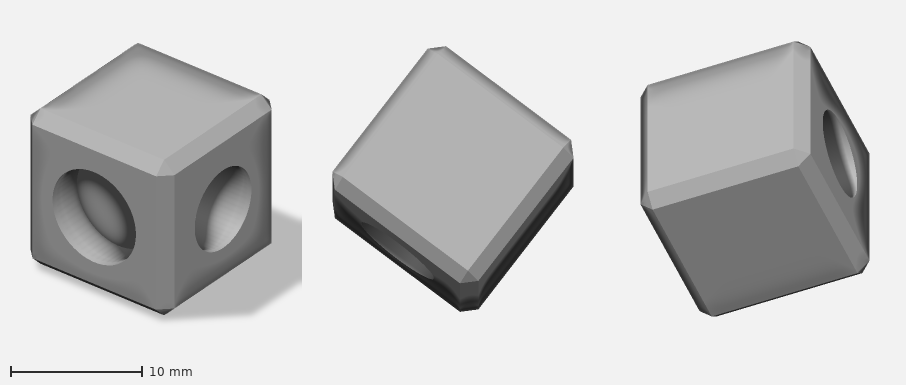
import cadquery as cq

cube_side = 14.0
edge_chamfer = 1.0
through_hole_diameter = 7.0
pocket_diameter = 8.1
pocket_depth = 3.0

half_side = cube_side / 2


def chamfered_cube():
    """Cube centred on the origin with every edge chamfered."""
    return cq.Workplane("XY").box(cube_side, cube_side, cube_side).edges().chamfer(edge_chamfer)


def through_hole():
    """Cylinder along X that passes right through the cube."""
    return (
        cq.Workplane("YZ", origin=(-half_side, 0, 0))
        .circle(through_hole_diameter / 2)
        .extrude(cube_side)
    )


def round_pocket():
    """Flat-bottomed round pocket sunk into the -Y face."""
    return (
        cq.Workplane("XZ", origin=(0, -half_side, 0))
        .circle(pocket_diameter / 2)
        .extrude(-pocket_depth)
    )


result = chamfered_cube().cut(through_hole()).cut(round_pocket())